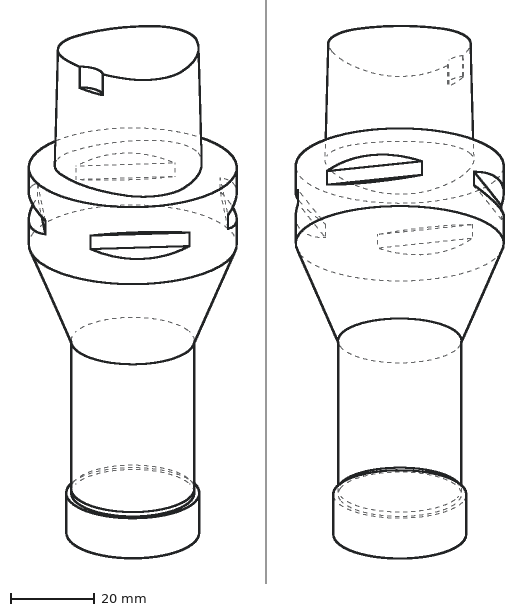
import cadquery as cq
import math

total_height = 125.0
shank_length = 30.0
flange_height = 20.0
cone_height = 25.0
flange_top = total_height - shank_length
flange_bottom = flange_top - flange_height
cone_bottom = flange_bottom - cone_height

flange_radius = 50.0 / 2
neck_radius = 29.6 / 2
taper_angle = math.degrees(math.atan(1 / 40))

lobe_tip_radius = 18.9
flat_radius = 16.4
lobe_arc_radius = 11.5

notch_width = 7.2
notch_depth = 5.4
notch_radius = 5.5
notch_inner_offset = 13.9

groove_count = 4
groove_floor_height = 3.5
groove_floor_offset = 22.0
groove_wall_angle = 30.0
groove_center_z = 85.0

head_radius = 32.0 / 2
collar_height = 10.5
head_height = 11.6
bottom_edge_radius = 0.2


def polar(radius, angle):
    return cq.Vector(radius * math.cos(math.radians(angle)), radius * math.sin(math.radians(angle)))


def lobed_outline():
    """Closed outline of three lobe arcs tangent to three flatter arcs; one lobe points to +Y."""
    lobe_offset = lobe_tip_radius - lobe_arc_radius
    gap = flat_radius - lobe_arc_radius
    flat_offset = (lobe_offset**2 - gap**2) / (2 * gap - lobe_offset)

    def joint(lobe_angle, flat_angle):
        lobe_center = polar(lobe_offset, lobe_angle)
        flat_center = polar(-flat_offset, flat_angle)
        return lobe_center + (lobe_center - flat_center).normalized() * lobe_arc_radius

    outline = cq.Workplane("XY", origin=(0, 0, flange_top))
    start = joint(90, 30)
    outline = outline.moveTo(start.x, start.y)
    for lobe_angle in (90, 210, 330):
        next_flat = lobe_angle + 60
        tip = polar(lobe_tip_radius, lobe_angle)
        lobe_end = joint(lobe_angle, next_flat)
        flat_middle = polar(flat_radius, next_flat)
        flat_end = joint(lobe_angle + 120, next_flat)
        outline = outline.threePointArc((tip.x, tip.y), (lobe_end.x, lobe_end.y))
        outline = outline.threePointArc((flat_middle.x, flat_middle.y), (flat_end.x, flat_end.y))
    return outline.close()


def key_notch():
    arc_center_y = -notch_inner_offset - notch_radius
    round_cut = cq.Workplane("XY", origin=(0, arc_center_y, total_height - notch_depth))
    round_cut = round_cut.circle(notch_radius).extrude(notch_depth)
    side_limit = cq.Workplane("XY", origin=(0, arc_center_y, total_height - notch_depth))
    side_limit = side_limit.rect(notch_width, 2 * notch_radius).extrude(notch_depth)
    return round_cut.intersect(side_limit)


def gripper_groove(angle):
    """Straight trapezoidal groove whose floor faces outward at the given angle."""
    half_floor = groove_floor_height / 2
    flare = (flange_radius - groove_floor_offset) * math.tan(math.radians(groove_wall_angle))
    half_mouth = half_floor + flare
    profile = [
        (groove_floor_offset, groove_center_z - half_floor),
        (flange_radius, groove_center_z - half_mouth),
        (flange_radius, groove_center_z + half_mouth),
        (groove_floor_offset, groove_center_z + half_floor),
    ]
    groove = cq.Workplane("XZ").polyline(profile).close().extrude(flange_radius, both=True)
    return groove.rotate((0, 0, 0), (0, 0, 1), angle)


def make_holder():
    profile = [
        (0, head_height),
        (neck_radius, head_height),
        (neck_radius, cone_bottom),
        (flange_radius, flange_bottom),
        (flange_radius, flange_top),
        (0, flange_top),
    ]
    holder = cq.Workplane("XZ").polyline(profile).close().revolve(360, (0, 0), (0, 1))
    shank = lobed_outline().extrude(shank_length, taper=taper_angle)
    holder = holder.union(shank).cut(key_notch())
    for index in range(groove_count):
        holder = holder.cut(gripper_groove(45 + index * 360 / groove_count))
    return holder


def make_cutting_head():
    """Collar with a rounded bottom rim and a short seat that meets the neck."""
    collar = cq.Workplane("XY").circle(head_radius).extrude(collar_height)
    seat = cq.Workplane("XY", origin=(0, 0, collar_height)).circle(neck_radius)
    head = collar.union(seat.extrude(head_height - collar_height))
    return head.faces("<Z").edges().fillet(bottom_edge_radius)


holder = make_holder()
cutting_head = make_cutting_head()
result = cq.Compound.makeCompound([holder.val(), cutting_head.val()])